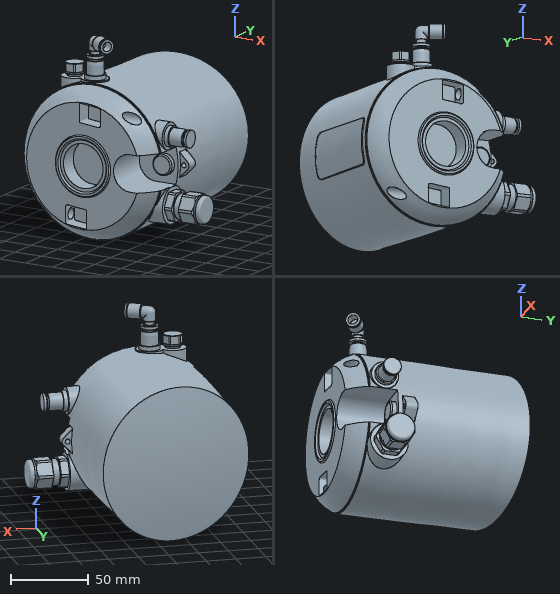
import cadquery as cq
import math


FACE_RADIUS = 42.5
SHOULDER_RADIUS = 52.1
SHOULDER_LENGTH = 13.0
SHOULDER_BULGE = 0.8
GROOVE_RADIUS = 51.6
GROOVE_END = 13.8
HOUSING_RADIUS = 52.4
SEAM_RADIUS = 52.3
SEAM_Y = 39.6
BARREL_RADIUS = 52.1
BAND_RADIUS = 51.6
BAND_START_Y = 82.3
BAND_END_Y = 93.2
REAR_RADIUS = 51.3
HIGH_SIDE_Y = 122.8
LOW_SIDE_Y = 101.2
DOME_HEIGHT = 5.1

RING_RADIUS = 20.8
RING_HEIGHT = 1.0
RING_EDGE = 0.8
RECESS_RADIUS = 18.4
LEDGE_RADIUS = 17.3
LEDGE_DEPTH = 0.4
BORE_RADIUS = 15.0
BORE_DEPTH = 12.8

POCKET_INNER_X = -2.5
POCKET_OUTER_X = 13.1
POCKET_TOP_Z = 42.0
POCKET_HEIGHT = 13.1
POCKET_DROP = 1.6
POCKET_DEPTH = 11.1
POCKET_LARGE_FILLET = 1.6
POCKET_SMALL_FILLET = 0.7
CROSS_HOLE_DIAMETER = 7.4
CROSS_HOLE_Y = 6.8
CROSS_HOLE_Z = 35.0

NOTCH_RADIUS = 12.5
NOTCH_CENTRE_X = 35.7
NOTCH_DEPTH = 32.4
BUTTON_X = 42.4
BUTTON_RADIUS = 7.2
BUTTON_HEIGHT = 4.0
BUTTON_CHAMFER = 1.0
EYELET_X = 54.9
EYELET_RADIUS = 3.8
EYELET_HOLE_DIAMETER = 3.2
EYELET_ROOT_X = 46.0
EYELET_START_Y = 35.5
EYELET_THICKNESS = 8.2

LABEL_START_Y = 17.4
LABEL_END_Y = 78.8
LABEL_WIDTH = 31.6
LABEL_CORNER = 4.0
LABEL_THICKNESS = 0.8
LABEL_TOP_WIDTH = 30.3
LABEL_ROOT_X = -49.7
LABEL_TOP_X = -51.1

TOP_PORT_Y = 23.6
PORT_RADIUS = 9.2
STUB_LENGTH = 27
SEAT_DEPTH = 1.4
TOP_PORT_Z = 53.1
PLUG_X = -20.4
PLUG_FLATS = 12.2
PLUG_CORNERS = 13.4
GRIP_START = 3.1
GRIP_END = 8.8
PLUG_END = 9.2
ELBOW_X = -4.9
ELBOW_Z = 77.5
ELBOW_RADIUS = 4.2
ELBOW_TURN = 30
ARM_END = 15.8
HOSE_HOLE_DIAMETER = 6.3
HOSE_HOLE_DEPTH = 7.7
SIDE_PORT_X = 51.1
SIDE_PORT_Y = 23.8
SIDE_PORT_Z = 21.9
GLAND_X = 51.9
GLAND_Y = 26.5
GLAND_Z = -24.9
GLAND_PORT_RADIUS = 12.8
GLAND_PORT_ROOT_RADIUS = 13.1
GLAND_END_FILLET = 1.8
NUT_FLATS = 19.2
NUT_CORNERS = 21.1
BASE_NUT_END = 5.5
CLAMP_NUT_START = 10.5
CLAMP_NUT_TAPER_START = 20.3
CLAMP_NUT_END = 21.5
CLAMP_NUT_LIMIT_RADIUS = 11.0


def turned(profile):
    """Solid of revolution about Y from (radius, Y) points."""
    return cq.Workplane("XY").polyline(profile).close().revolve(360, (0, 0), (0, 1))


def stacked(plane, stages):
    """Coaxial stages along the plane normal, each given as (start, end, start radius, end radius)."""
    outline = [(0, stages[0][0])]
    for start, end, start_radius, end_radius in stages:
        for point in ((start_radius, start), (end_radius, end)):
            if point != outline[-1]:
                outline.append(point)
    outline.append((0, stages[-1][1]))
    axis_up = cq.Workplane("XZ").polyline(outline).close().revolve(360, (0, 0), (0, 1))
    return axis_up.val().moved(plane.location)


def blunt_hex(plane, start, end, across_flats, across_corners):
    """Hexagonal bar with flattened corners; one pair of corners lies along the plane's x axis."""

    def bar(flats, turn):
        hexagon = cq.Workplane("XY").workplane(offset=start).polygon(6, flats / math.cos(math.pi / 6))
        return hexagon.extrude(end - start).rotate((0, 0, 0), (0, 0, 1), turn)

    return bar(across_flats, 0).intersect(bar(across_corners, 30)).val().moved(plane.location)


def make_housing():
    blank_end = HIGH_SIDE_Y + DOME_HEIGHT
    rise = SHOULDER_RADIUS - FACE_RADIUS
    chord = math.hypot(rise, SHOULDER_LENGTH)
    shoulder_middle = (
        (FACE_RADIUS + SHOULDER_RADIUS) / 2 + SHOULDER_BULGE * SHOULDER_LENGTH / chord,
        SHOULDER_LENGTH / 2 - SHOULDER_BULGE * rise / chord,
    )
    barrel_middle = (BARREL_RADIUS, (SEAM_Y + BAND_START_Y) / 2)
    blank = (
        cq.Workplane("XY")
        .lineTo(FACE_RADIUS, 0)
        .threePointArc(shoulder_middle, (SHOULDER_RADIUS, SHOULDER_LENGTH))
        .lineTo(GROOVE_RADIUS, SHOULDER_LENGTH)
        .lineTo(GROOVE_RADIUS, GROOVE_END)
        .lineTo(HOUSING_RADIUS, GROOVE_END)
        .lineTo(SEAM_RADIUS, SEAM_Y)
        .threePointArc(barrel_middle, (BAND_RADIUS, BAND_START_Y))
        .lineTo(BAND_RADIUS, BAND_END_Y)
        .lineTo(REAR_RADIUS, blank_end)
        .lineTo(0, blank_end)
        .close()
        .revolve(360, (0, 0), (0, 1))
    )
    slant = math.atan2(HIGH_SIDE_Y - LOW_SIDE_Y, 2 * REAR_RADIUS)
    half_chord = REAR_RADIUS / math.cos(slant)
    dome_radius = (half_chord ** 2 + DOME_HEIGHT ** 2) / (2 * DOME_HEIGHT)
    centre_offset = dome_radius - DOME_HEIGHT
    centre_x = centre_offset * math.sin(slant)
    centre_y = (HIGH_SIDE_Y + LOW_SIDE_Y) / 2 - centre_offset * math.cos(slant)
    dome = cq.Workplane("XY").sphere(dome_radius).translate((centre_x, centre_y, 0))
    return blank.intersect(dome)


def make_label():
    length = LABEL_END_Y - LABEL_START_Y
    inner_radius = REAR_RADIUS - 1.4
    shell = turned([
        (inner_radius, LABEL_START_Y),
        (HOUSING_RADIUS + LABEL_THICKNESS, LABEL_START_Y),
        (BAND_RADIUS + LABEL_THICKNESS, LABEL_END_Y),
        (inner_radius, LABEL_END_Y),
    ])
    window = (
        cq.Workplane("YZ")
        .center(LABEL_START_Y + length / 2, 0)
        .rect(length, LABEL_WIDTH)
        .extrude(-2 * HOUSING_RADIUS)
        .edges("|X")
        .fillet(LABEL_CORNER)
    )
    lean = (LABEL_WIDTH - LABEL_TOP_WIDTH) / (LABEL_ROOT_X - LABEL_TOP_X) / 2
    peak_x = LABEL_ROOT_X - LABEL_WIDTH / 2 / lean
    base_half_width = LABEL_WIDTH / 2 - LABEL_ROOT_X * lean
    wedge = (
        cq.Workplane("XZ")
        .polyline([(peak_x, 0), (0, base_half_width), (0, -base_half_width)])
        .close()
        .extrude(-LABEL_END_Y)
    )
    return shell.intersect(window).intersect(wedge)


def make_ring():
    return turned([
        (0, 0),
        (RING_RADIUS, 0),
        (RING_RADIUS - RING_EDGE, -RING_HEIGHT),
        (0, -RING_HEIGHT),
    ])


def make_bore():
    return turned([
        (0, -RING_HEIGHT),
        (RECESS_RADIUS, -RING_HEIGHT),
        (LEDGE_RADIUS, LEDGE_DEPTH),
        (BORE_RADIUS, LEDGE_DEPTH),
        (BORE_RADIUS, BORE_DEPTH),
        (0, BORE_DEPTH),
    ])


def make_pocket_and_hole():
    bottom_z = POCKET_TOP_Z - POCKET_HEIGHT
    pocket = (
        cq.Workplane("XZ")
        .moveTo(POCKET_INNER_X, POCKET_TOP_Z)
        .lineTo(POCKET_OUTER_X, POCKET_TOP_Z - POCKET_DROP)
        .lineTo(POCKET_OUTER_X, bottom_z - POCKET_DROP)
        .lineTo(POCKET_INNER_X, bottom_z)
        .close()
        .extrude(-POCKET_DEPTH)
    )
    pocket = pocket.edges("|Y and >X").fillet(POCKET_LARGE_FILLET)
    pocket = pocket.edges("|Y and <X").fillet(POCKET_SMALL_FILLET)
    hole = (
        cq.Workplane("YZ", origin=(POCKET_OUTER_X - 1.4, CROSS_HOLE_Y, CROSS_HOLE_Z))
        .circle(CROSS_HOLE_DIAMETER / 2)
        .extrude(HOUSING_RADIUS)
    )
    return pocket.union(hole)


def make_notch():
    round_end = cq.Workplane("XZ").center(NOTCH_CENTRE_X, 0).circle(NOTCH_RADIUS).extrude(-NOTCH_DEPTH)
    mouth = (
        cq.Workplane("XZ")
        .center(NOTCH_CENTRE_X + NOTCH_RADIUS, 0)
        .rect(2 * NOTCH_RADIUS, 2 * NOTCH_RADIUS)
        .extrude(-NOTCH_DEPTH)
    )
    return round_end.union(mouth)


def make_button():
    return (
        cq.Workplane("XZ", origin=(BUTTON_X, NOTCH_DEPTH, 0))
        .circle(BUTTON_RADIUS)
        .extrude(BUTTON_HEIGHT)
        .faces("<Y")
        .chamfer(BUTTON_CHAMFER)
    )


def make_eyelet():
    tangent = EYELET_RADIUS * math.sin(math.pi / 4)
    root_half_width = 2 * tangent + EYELET_X - EYELET_ROOT_X
    return (
        cq.Workplane("XZ", origin=(0, EYELET_START_Y, 0))
        .moveTo(EYELET_ROOT_X, root_half_width)
        .lineTo(EYELET_X + tangent, tangent)
        .threePointArc((EYELET_X + EYELET_RADIUS, 0), (EYELET_X + tangent, -tangent))
        .lineTo(EYELET_ROOT_X, -root_half_width)
        .close()
        .extrude(-EYELET_THICKNESS)
    )


def make_eyelet_hole():
    return (
        cq.Workplane("XZ", origin=(EYELET_X, EYELET_START_Y, 0))
        .circle(EYELET_HOLE_DIAMETER / 2)
        .extrude(-EYELET_THICKNESS)
    )


def make_push_fitting(plane):
    """Push-in hose fitting standing on a port face."""
    return stacked(plane, [
        (-SEAT_DEPTH, 3.0, 7.0, 7.0),
        (3.0, 9.7, 6.0, 6.0),
        (9.7, 12.3, 6.0, 5.5),
        (12.3, 13.2, 4.6, 4.6),
        (13.2, 14.0, 3.9, 3.9),
        (14.0, 16.0, 6.0, 6.0),
    ])


def make_plug(plane):
    """Screw-in plug: stem and collar, hexagonal grip, round cap."""
    stem = stacked(plane, [
        (-SEAT_DEPTH, 1.6, 4.9, 4.9),
        (1.6, 2.0, 6.3, 6.3),
        (2.0, GRIP_START, 6.5, 6.5),
    ])
    grip = blunt_hex(plane, GRIP_START, GRIP_END, PLUG_FLATS, PLUG_CORNERS)
    cap = stacked(plane, [(GRIP_END, PLUG_END, 6.6, 6.6)])
    return [stem, grip, cap]


def make_elbow(plane):
    """Swivel elbow above a push-in fitting, with its arm turned towards the front."""
    post_top = ELBOW_Z - TOP_PORT_Z
    post = stacked(plane, [
        (14.9, 16.3, 4.2, 4.2),
        (16.3, 18.9, 3.1, 3.1),
        (18.9, post_top, ELBOW_RADIUS, ELBOW_RADIUS),
    ])
    corner = cq.Workplane("XY").sphere(ELBOW_RADIUS).translate((ELBOW_X, TOP_PORT_Y, ELBOW_Z)).val()
    turn = math.radians(ELBOW_TURN)
    arm_plane = cq.Plane((ELBOW_X, TOP_PORT_Y, ELBOW_Z), (0, 0, 1), (math.cos(turn), -math.sin(turn), 0))
    arm = stacked(arm_plane, [
        (0, 4.7, ELBOW_RADIUS, ELBOW_RADIUS),
        (4.7, 5.3, 4.5, 5.1),
        (5.3, 13.8, 5.1, 5.1),
        (13.8, 14.3, 4.7, 4.7),
        (14.3, ARM_END, 5.0, 5.0),
    ])
    hose_radius = HOSE_HOLE_DIAMETER / 2
    hose_hole = stacked(arm_plane, [(ARM_END - HOSE_HOLE_DEPTH, ARM_END, hose_radius, hose_radius)])
    return [post, corner, arm.cut(hose_hole)]


def make_gland(plane):
    """Cable gland: housing port, round core, base nut and clamp nut."""
    port = stacked(plane, [(-STUB_LENGTH, 0, GLAND_PORT_ROOT_RADIUS, GLAND_PORT_RADIUS)])
    core = stacked(plane, [
        (-SEAT_DEPTH, BASE_NUT_END, 8.1, 8.1),
        (BASE_NUT_END, 6.0, 8.4, 8.4),
        (6.0, CLAMP_NUT_TAPER_START, 8.8, 8.8),
        (CLAMP_NUT_TAPER_START, 22.7, NUT_FLATS / 2, NUT_FLATS / 2),
        (22.7, 26.1, 9.5, 9.5),
    ])
    core = cq.Workplane(obj=core).edges(">X").fillet(GLAND_END_FILLET).val()
    base_nut = blunt_hex(plane, 0, BASE_NUT_END, NUT_FLATS, NUT_CORNERS)
    clamp_nut = blunt_hex(plane, CLAMP_NUT_START, CLAMP_NUT_END, NUT_FLATS, NUT_CORNERS)
    nut_envelope = stacked(plane, [
        (CLAMP_NUT_START, CLAMP_NUT_TAPER_START, CLAMP_NUT_LIMIT_RADIUS, CLAMP_NUT_LIMIT_RADIUS),
        (CLAMP_NUT_TAPER_START, CLAMP_NUT_END, CLAMP_NUT_LIMIT_RADIUS, NUT_FLATS / 2),
    ])
    clamp_nut = clamp_nut.intersect(nut_envelope)
    return [port, core, base_nut, clamp_nut]


def combined(body, parts):
    for part in parts:
        body = body.union(cq.Workplane(obj=part))
    return body


top_plug = cq.Plane((PLUG_X, TOP_PORT_Y, TOP_PORT_Z), (1, 0, 0), (0, 0, 1))
top_elbow = cq.Plane((ELBOW_X, TOP_PORT_Y, TOP_PORT_Z), (1, 0, 0), (0, 0, 1))
side_port = cq.Plane((SIDE_PORT_X, SIDE_PORT_Y, SIDE_PORT_Z), (0, 1, 0), (1, 0, 0))
gland_port = cq.Plane((GLAND_X, GLAND_Y, GLAND_Z), (0, 1, 0), (1, 0, 0))
port_stub = [(-STUB_LENGTH, 0, PORT_RADIUS, PORT_RADIUS)]

body = make_housing().union(make_label()).union(make_ring())
body = combined(body, [stacked(plane, port_stub) for plane in (top_plug, top_elbow, side_port)])
body = combined(body, make_gland(gland_port))
body = body.cut(make_bore())

pocket = make_pocket_and_hole()
body = body.cut(pocket).cut(pocket.rotate((0, 0, 0), (0, 1, 0), 180))

body = body.cut(make_notch()).union(make_button())
body = body.union(make_eyelet()).cut(make_eyelet_hole())
body = combined(body, [make_push_fitting(top_elbow), make_push_fitting(side_port)])
body = combined(body, make_plug(top_plug))
result = combined(body, make_elbow(top_elbow))